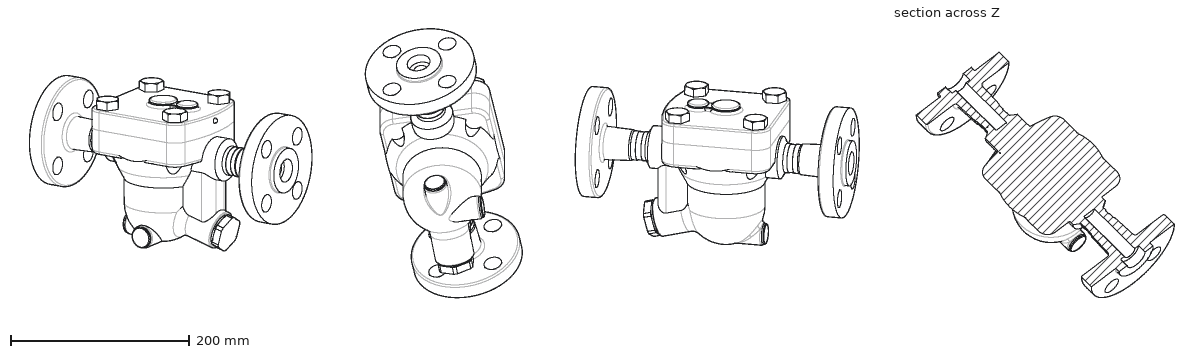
import cadquery as cq
import math


BOLT_OFFSET = 45.0
CORNER_RADIUS = 17.5
COVER_HALF = BOLT_OFFSET + CORNER_RADIUS
COVER_BULGE_X = 69.0
JOINT_Z = 29.0
COVER_TOP_Z = 51.5
COVER_TOP_FILLET = 2.0
FLANGE_BOTTOM_FILLET = 4.0

BOWL_RADIUS = 44.0
BOWL_CENTER_Z = -62.5
CONE_BOTTOM_Z = -33.5
FLARE_START_Z = -19.3
FLARE_START_RADIUS = 51.6
FLARE_MID_Z = -10.0
FLARE_MID_RADIUS = 56.1
FLARE_TOP_RADIUS = 65.2
BOLT_RELIEF_RADIUS = 10.0
BOLT_RELIEF_DEPTH = 30.0

PIPE_CENTER_X = 10.0
PIPE_HALF_LENGTH = 154.5
RAISED_FACE_RADIUS = 25.4
RAISED_FACE_HEIGHT = 5.7
RAISED_FACE_FILLET = 1.0
PIPE_FLANGE_RADIUS = 62.0
PIPE_FLANGE_BACK = 23.7
PIPE_FLANGE_FILLET = 2.0
NECK_FILLET = 3.5
NECK_BIG_RADIUS = 18.7
NECK_SMALL_RADIUS = 17.5
NECK_END = 56.3
STUB_RADIUS = 16.5
STUB_START = 58.2
WAIST_RADIUS = 16.0
WAIST_START = 63.9
WAIST_END = 70.3
STUB_END = 75.0
HUB_START = 79.8
HUB_RADIUS = 24.0
FLANGE_HOLE_DIAMETER = 20.0
FLANGE_HOLE_OFFSET = 31.5
SOCKET_DIAMETER = 26.0
SOCKET_DEPTH = 11.0
BORE_DIAMETER = 15.0

STRAINER_ANGLE = 15.0
STRAINER_RADIUS = 22.0
STRAINER_LENGTH = 80.0
STRAINER_ROOT_FILLET = 16.0
STRAINER_END_FILLET = 1.0
COLLAR_RADIUS = 19.0
HEX_START = 82.5
HEX_END = 91.2
HEX_FLATS = 38.0
HEX_TURNED_RADIUS = 20.8

COLUMN_END_X = 76.0
COLUMN_HALF_WIDTH = 20.0
COLUMN_CORNER_RADIUS = 11.5

DRAIN_Z = -92.8
DRAIN_RADIUS = 13.0
DRAIN_LENGTH = 44.0
DRAIN_END_FILLET = 2.0
DRAIN_ROOT_FILLET = 3.5
DRAIN_PLUG_RADIUS = 12.0
DRAIN_PLUG_LENGTH = 46.5
DRAIN_PLUG_CHAMFER = 1.0

BOLT_FLATS = 24.0
BOLT_HEAD_HEIGHT = 10.0
BOLT_CHAMFER_ANGLE = 30.0
BOLT_TURN = 30.0

BUTTON_RADIUS = 16.0
SMALL_BUTTON_RADIUS = 12.0
SMALL_BUTTON_X = 32.0
BUTTON_HEIGHT = 6.5
BUTTON_ROOT_FILLET = 3.0
BUTTON_TOP_FILLET = 1.8
GROOVE_HEIGHT = 3.9
GROOVE_DEPTH = 1.0
BRIDGE_HALF_WIDTH = 8.0
BRIDGE_ROOT_FILLET = 2.0
BRIDGE_TOP_CHAMFER = 0.8

PIN_RADIUS = 3.0
PIN_Z = 43.4

COS_45 = math.sqrt(0.5)
ARC_INSET = 1 - COS_45


def cover_slab(bottom, top):
    """Slab with rounded corners whose +X side is one large arc tangent to both corner arcs."""
    reach = COVER_BULGE_X - BOLT_OFFSET
    bulge_radius = (reach**2 + BOLT_OFFSET**2 - CORNER_RADIUS**2) / (2 * (reach - CORNER_RADIUS))
    tangent_angle = math.asin(BOLT_OFFSET / (bulge_radius - CORNER_RADIUS))
    corner_diagonal = CORNER_RADIUS * COS_45
    mid_angle = (tangent_angle + math.pi / 2) / 2
    tangent_x = BOLT_OFFSET + CORNER_RADIUS * math.cos(tangent_angle)
    tangent_y = BOLT_OFFSET + CORNER_RADIUS * math.sin(tangent_angle)
    mid_x = BOLT_OFFSET + CORNER_RADIUS * math.cos(mid_angle)
    mid_y = BOLT_OFFSET + CORNER_RADIUS * math.sin(mid_angle)
    left_mid = BOLT_OFFSET + corner_diagonal
    return (
        cq.Workplane("XY", origin=(0, 0, bottom))
        .moveTo(-BOLT_OFFSET, COVER_HALF)
        .lineTo(BOLT_OFFSET, COVER_HALF)
        .threePointArc((mid_x, mid_y), (tangent_x, tangent_y))
        .threePointArc((COVER_BULGE_X, 0), (tangent_x, -tangent_y))
        .threePointArc((mid_x, -mid_y), (BOLT_OFFSET, -COVER_HALF))
        .lineTo(-BOLT_OFFSET, -COVER_HALF)
        .threePointArc((-left_mid, -left_mid), (-COVER_HALF, -BOLT_OFFSET))
        .lineTo(-COVER_HALF, BOLT_OFFSET)
        .threePointArc((-left_mid, left_mid), (-BOLT_OFFSET, COVER_HALF))
        .close()
        .extrude(top - bottom)
    )


def make_bowl():
    """Hemispherical bowl with a straight wall, a cone and a curved flare, relieved below the bolts."""
    half_sphere = BOWL_RADIUS * COS_45
    bowl = (
        cq.Workplane("XZ")
        .moveTo(0, BOWL_CENTER_Z - BOWL_RADIUS)
        .threePointArc((half_sphere, BOWL_CENTER_Z - half_sphere), (BOWL_RADIUS, BOWL_CENTER_Z))
        .lineTo(BOWL_RADIUS, CONE_BOTTOM_Z)
        .lineTo(FLARE_START_RADIUS, FLARE_START_Z)
        .threePointArc((FLARE_MID_RADIUS, FLARE_MID_Z), (FLARE_TOP_RADIUS, FLANGE_BOTTOM_FILLET))
        .lineTo(0, FLANGE_BOTTOM_FILLET)
        .close()
        .revolve(360, (0, 0, 0), (0, 1, 0))
    )
    reliefs = (
        cq.Workplane("XY")
        .rect(2 * BOLT_OFFSET, 2 * BOLT_OFFSET, forConstruction=True)
        .vertices()
        .circle(BOLT_RELIEF_RADIUS)
        .extrude(-BOLT_RELIEF_DEPTH)
    )
    limit = cover_slab(BOWL_CENTER_Z - BOWL_RADIUS, FLANGE_BOTTOM_FILLET)
    return bowl.intersect(limit).cut(reliefs)


def make_pipe_half():
    """Flange, welding neck, pipe stub and hub of the -X side, ending at the middle of the pipe run."""
    neck_start = PIPE_FLANGE_BACK + NECK_FILLET
    raised_edge = RAISED_FACE_HEIGHT - RAISED_FACE_FILLET
    half = (
        cq.Workplane("XY")
        .moveTo(0, 0)
        .lineTo(0, RAISED_FACE_RADIUS)
        .lineTo(raised_edge, RAISED_FACE_RADIUS)
        .threePointArc(
            (
                RAISED_FACE_HEIGHT - RAISED_FACE_FILLET * ARC_INSET,
                RAISED_FACE_RADIUS + RAISED_FACE_FILLET * ARC_INSET,
            ),
            (RAISED_FACE_HEIGHT, RAISED_FACE_RADIUS + RAISED_FACE_FILLET),
        )
        .lineTo(RAISED_FACE_HEIGHT, PIPE_FLANGE_RADIUS)
        .lineTo(PIPE_FLANGE_BACK - PIPE_FLANGE_FILLET, PIPE_FLANGE_RADIUS)
        .threePointArc(
            (
                PIPE_FLANGE_BACK - PIPE_FLANGE_FILLET * ARC_INSET,
                PIPE_FLANGE_RADIUS - PIPE_FLANGE_FILLET * ARC_INSET,
            ),
            (PIPE_FLANGE_BACK, PIPE_FLANGE_RADIUS - PIPE_FLANGE_FILLET),
        )
        .lineTo(PIPE_FLANGE_BACK, NECK_BIG_RADIUS + NECK_FILLET)
        .threePointArc(
            (PIPE_FLANGE_BACK + NECK_FILLET * ARC_INSET, NECK_BIG_RADIUS + NECK_FILLET * ARC_INSET),
            (neck_start, NECK_BIG_RADIUS),
        )
        .lineTo(NECK_END, NECK_SMALL_RADIUS)
        .lineTo(STUB_START, STUB_RADIUS)
        .lineTo(WAIST_START, STUB_RADIUS)
        .lineTo(WAIST_START, WAIST_RADIUS)
        .lineTo(WAIST_END, WAIST_RADIUS)
        .lineTo(WAIST_END, STUB_RADIUS)
        .lineTo(STUB_END, STUB_RADIUS)
        .lineTo(HUB_START, HUB_RADIUS)
        .lineTo(PIPE_HALF_LENGTH, HUB_RADIUS)
        .lineTo(PIPE_HALF_LENGTH, 0)
        .close()
        .revolve(360, (0, 0, 0), (1, 0, 0))
    )
    end_face = cq.Workplane("YZ")
    flange_holes = (
        end_face.rect(2 * FLANGE_HOLE_OFFSET, 2 * FLANGE_HOLE_OFFSET, forConstruction=True)
        .vertices()
        .circle(FLANGE_HOLE_DIAMETER / 2)
        .extrude(PIPE_FLANGE_BACK)
    )
    socket = end_face.circle(SOCKET_DIAMETER / 2).extrude(SOCKET_DEPTH)
    bore = end_face.circle(BORE_DIAMETER / 2).extrude(HUB_START)
    half = half.cut(flange_holes).cut(socket).cut(bore)
    return half.translate((-PIPE_HALF_LENGTH, 0, 0))


def make_pipes():
    """Both pipe halves, mirrored about the middle of the pipe run."""
    half = make_pipe_half()
    return half.union(half.mirror("YZ"), clean=False).translate((PIPE_CENTER_X, 0, 0))


def make_strainer():
    """Branch blended into the bowl sphere, with a collar and a turned hexagonal cap."""
    blend_radius = STRAINER_RADIUS + STRAINER_ROOT_FILLET
    blend_reach = BOWL_RADIUS + STRAINER_ROOT_FILLET
    blend_end = math.sqrt(blend_reach**2 - blend_radius**2)
    sphere_share = BOWL_RADIUS / blend_reach
    blend_start = blend_end * sphere_share
    sphere_angle = math.atan2(-blend_radius, -blend_end)
    mid_angle = (sphere_angle - math.pi / 2) / 2
    blend_mid = (
        blend_end + STRAINER_ROOT_FILLET * math.cos(mid_angle),
        blend_radius + STRAINER_ROOT_FILLET * math.sin(mid_angle),
    )
    branch = (
        cq.Workplane("XY")
        .lineTo(blend_start, blend_radius * sphere_share)
        .threePointArc(blend_mid, (blend_end, STRAINER_RADIUS))
        .lineTo(STRAINER_LENGTH, STRAINER_RADIUS)
        .lineTo(STRAINER_LENGTH, 0)
        .close()
        .revolve(360, (0, 0, 0), (1, 0, 0))
        .faces(">X")
        .edges()
        .fillet(STRAINER_END_FILLET)
    )
    collar = cq.Workplane("YZ").circle(COLLAR_RADIUS).extrude(HEX_START)
    hex_plane = cq.Workplane("YZ", origin=(HEX_START, 0, 0))
    hex_length = HEX_END - HEX_START
    cap = hex_plane.polygon(6, HEX_FLATS, circumscribed=True).extrude(hex_length)
    cap = cap.intersect(hex_plane.circle(HEX_TURNED_RADIUS).extrude(hex_length))
    strainer = branch.union(collar).union(cap)
    return strainer.rotate((0, 0, 0), (0, 1, 0), STRAINER_ANGLE).translate((0, 0, BOWL_CENTER_Z))


def make_column():
    """Upright web from the strainer axis up into the outlet hub, rounded at its far corners."""
    bottom_z = BOWL_CENTER_Z - COLUMN_END_X * math.tan(math.radians(STRAINER_ANGLE))
    return (
        cq.Workplane("XZ")
        .moveTo(0, 0)
        .lineTo(COLUMN_END_X, 0)
        .lineTo(COLUMN_END_X, bottom_z)
        .lineTo(0, BOWL_CENTER_Z)
        .close()
        .extrude(COLUMN_HALF_WIDTH, both=True)
        .edges("|Z and >X")
        .fillet(COLUMN_CORNER_RADIUS)
    )


def make_drain_boss(plane):
    """Drain boss along the normal of the given plane."""
    boss = cq.Workplane(plane).circle(DRAIN_RADIUS).extrude(DRAIN_LENGTH)
    boss = boss.faces(cq.DirectionMinMaxSelector(boss.plane.zDir)).edges().fillet(DRAIN_END_FILLET)
    return boss.translate((0, 0, DRAIN_Z))


def make_drain_plug(plane):
    """Plug closing a drain boss, chamfered at its outer edge."""
    plug = cq.Workplane(plane).circle(DRAIN_PLUG_RADIUS).extrude(DRAIN_PLUG_LENGTH)
    plug = plug.faces(cq.DirectionMinMaxSelector(plug.plane.zDir)).edges().chamfer(DRAIN_PLUG_CHAMFER)
    return plug.translate((0, 0, DRAIN_Z))


def make_bolt(x, y, turn):
    """Hexagonal bolt head whose top corners are chamfered by a cone."""
    head = (
        cq.Workplane("XY")
        .polygon(6, BOLT_FLATS, circumscribed=True)
        .extrude(BOLT_HEAD_HEIGHT)
        .rotate((0, 0, 0), (0, 0, 1), turn)
    )
    corner_radius = BOLT_FLATS / math.sqrt(3)
    top_radius = BOLT_FLATS / 2
    chamfer_drop = (corner_radius - top_radius) * math.tan(math.radians(BOLT_CHAMFER_ANGLE))
    turned = (
        cq.Workplane("XZ")
        .lineTo(corner_radius, 0)
        .lineTo(corner_radius, BOLT_HEAD_HEIGHT - chamfer_drop)
        .lineTo(top_radius, BOLT_HEAD_HEIGHT)
        .lineTo(0, BOLT_HEAD_HEIGHT)
        .close()
        .revolve(360, (0, 0, 0), (0, 1, 0))
    )
    return head.intersect(turned).translate((x, y, COVER_TOP_Z))


def make_button(x, radius):
    """Round button with a flared root, a V groove and a rounded top edge."""
    return (
        cq.Workplane("XZ")
        .lineTo(radius + BUTTON_ROOT_FILLET, 0)
        .threePointArc(
            (radius + BUTTON_ROOT_FILLET * ARC_INSET, BUTTON_ROOT_FILLET * ARC_INSET),
            (radius, BUTTON_ROOT_FILLET),
        )
        .lineTo(radius - GROOVE_DEPTH, GROOVE_HEIGHT)
        .lineTo(radius, BUTTON_HEIGHT - BUTTON_TOP_FILLET)
        .threePointArc(
            (radius - BUTTON_TOP_FILLET * ARC_INSET, BUTTON_HEIGHT - BUTTON_TOP_FILLET * ARC_INSET),
            (radius - BUTTON_TOP_FILLET, BUTTON_HEIGHT),
        )
        .lineTo(0, BUTTON_HEIGHT)
        .close()
        .revolve(360, (0, 0, 0), (0, 1, 0))
        .translate((x, 0, COVER_TOP_Z))
    )


def make_bridge():
    """Low rib between the two buttons with flared sides and chamfered top edges."""
    root = BRIDGE_HALF_WIDTH + BRIDGE_ROOT_FILLET
    arc_inset = BRIDGE_ROOT_FILLET * ARC_INSET
    return (
        cq.Workplane("YZ", origin=(0, 0, COVER_TOP_Z))
        .moveTo(root, 0)
        .threePointArc((BRIDGE_HALF_WIDTH + arc_inset, arc_inset), (BRIDGE_HALF_WIDTH, BRIDGE_ROOT_FILLET))
        .lineTo(BRIDGE_HALF_WIDTH, GROOVE_HEIGHT - BRIDGE_TOP_CHAMFER)
        .lineTo(BRIDGE_HALF_WIDTH - BRIDGE_TOP_CHAMFER, GROOVE_HEIGHT)
        .lineTo(0, GROOVE_HEIGHT)
        .lineTo(0, 0)
        .close()
        .extrude(SMALL_BUTTON_X)
    )


def make_pin():
    """Ball-shaped pin head half sunk in the bulged side of the cover."""
    return cq.Workplane("XY").sphere(PIN_RADIUS).translate((COVER_BULGE_X, 0, PIN_Z))


SIDE = cq.Plane(origin=(0, 0, 0), xDir=(0, 1, 0), normal=(-1, 0, 0))
FRONT = cq.Plane.named("XZ")

body = make_bowl().union(make_drain_boss(SIDE))
side_root = body.edges("%BSPLINE").edges("<Z")
body = side_root.fillet(DRAIN_ROOT_FILLET)
body = body.union(make_drain_boss(FRONT))
for drain_plane in (SIDE, FRONT):
    body = body.union(make_drain_plug(drain_plane))

body = body.union(make_strainer()).union(make_column())

body_flange = cover_slab(0, JOINT_Z).faces("<Z").edges().fillet(FLANGE_BOTTOM_FILLET)
cover = cover_slab(JOINT_Z, COVER_TOP_Z).faces(">Z").edges().fillet(COVER_TOP_FILLET)
cover = cover.union(make_button(0, BUTTON_RADIUS))
cover = cover.union(make_button(SMALL_BUTTON_X, SMALL_BUTTON_RADIUS))
cover = cover.union(make_bridge()).union(make_bridge().mirror("XZ")).union(make_pin())
for x_side in (-1, 1):
    for y_side in (-1, 1):
        turn = BOLT_TURN if x_side == y_side else 0
        cover = cover.union(make_bolt(x_side * BOLT_OFFSET, y_side * BOLT_OFFSET, turn))

result = body.union(body_flange).union(make_pipes(), clean=False).union(cover, clean=False)